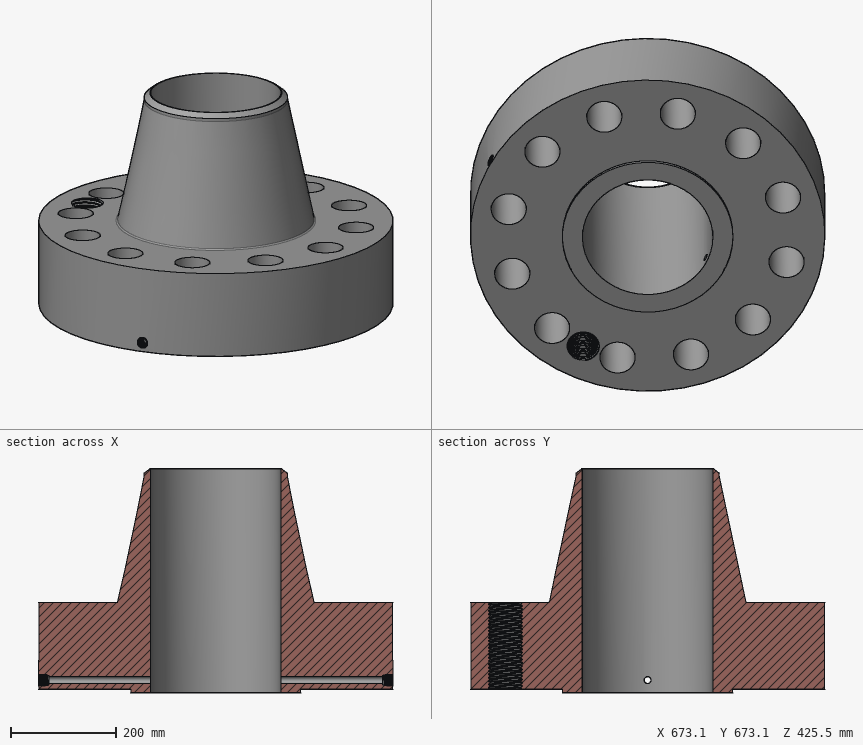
import cadquery as cq
import math

flange_diameter = 673.1
flange_thickness = 165.1
raised_face_diameter = 323.85
raised_face_height = 6.35
overall_height = 425.45
bore_diameter = 247.65

hub_base_diameter = 374.65
hub_base_fillet = 3.0
weld_end_diameter = 273.05
weld_land_height = 6.0
weld_root_face = 1.6
weld_bevel_angle = 37.5

bolt_circle_diameter = 539.75
bolt_hole_count = 12
bolt_hole_diameter = 66.7

jack_major_diameter = 63.5
jack_minor_diameter = 57.0
jack_pitch = 6.35
core_seam_angle = 77.0

tap_drill_diameter = 12.7
tap_major_diameter = 21.3
tap_minor_diameter = 18.6
tap_pitch = 25.4 / 14
tap_thread_turns = 11
tap_height = 24.0
pipe_half_angle = math.degrees(math.atan(1 / 32))

thread_crest_fraction = 1 / 8
thread_root_fraction = 1 / 8
thread_overlap_fraction = 1 / 16
straight_helix = 360.0

flange_top = raised_face_height + flange_thickness


def make_body():
    """Revolved flange, raised face, tapered hub and central bore."""
    bevel_top_radius = bore_diameter / 2 + weld_root_face
    bevel_width = weld_end_diameter / 2 - bevel_top_radius
    bevel_base = overall_height - bevel_width * math.tan(math.radians(weld_bevel_angle))
    body = (
        cq.Workplane("XZ")
        .moveTo(bore_diameter / 2, 0)
        .lineTo(raised_face_diameter / 2, 0)
        .lineTo(raised_face_diameter / 2, raised_face_height)
        .lineTo(flange_diameter / 2, raised_face_height)
        .lineTo(flange_diameter / 2, flange_top)
        .lineTo(hub_base_diameter / 2, flange_top)
        .lineTo(weld_end_diameter / 2, bevel_base - weld_land_height)
        .lineTo(weld_end_diameter / 2, bevel_base)
        .lineTo(bevel_top_radius, overall_height)
        .lineTo(bore_diameter / 2, overall_height)
        .close()
        .revolve(360, (0, 0, 0), (0, 1, 0))
    )
    flange_back_face = body.faces("+Z").faces("<Z")
    hub_corner = flange_back_face.edges(cq.selectors.RadiusNthSelector(0))
    return hub_corner.fillet(hub_base_fillet)


def make_bolt_holes():
    """Through holes evenly spaced on the bolt circle."""
    angle_step = 360 / bolt_hole_count
    return (
        cq.Workplane("XY")
        .polarArray(bolt_circle_diameter / 2, angle_step / 2, 360, bolt_hole_count)
        .circle(bolt_hole_diameter / 2)
        .extrude(flange_top)
    )


def make_thread_groove(minor_radius, major_radius, pitch, start, turns, half_angle=straight_helix):
    """Helical V groove about Z, widening upward by half_angle.

    The solid is bounded by ruled faces between the helices of its four section corners.
    The radii are those at the height start.
    """
    length = turns * pitch
    overlap = thread_overlap_fraction * pitch
    root_half_width = thread_root_fraction * pitch / 2
    mouth_half_width = (1 - thread_crest_fraction) * pitch / 2
    flank_slope = (mouth_half_width - root_half_width) / (major_radius - minor_radius)
    inner_radius = minor_radius - overlap
    inner_half_width = mouth_half_width + overlap * flank_slope
    corners = [
        (inner_radius, -inner_half_width),
        (major_radius, -root_half_width),
        (major_radius, root_half_width),
        (inner_radius, inner_half_width),
    ]
    helices = [
        cq.Wire.makeHelix(pitch, length, radius, angle=half_angle).translate((0, 0, start + rise))
        for radius, rise in corners
    ]
    faces = [
        cq.Face.makeRuledSurface(helix, helices[(index + 1) % len(helices)])
        for index, helix in enumerate(helices)
    ]
    starts = [helix.startPoint() for helix in helices]
    ends = [helix.endPoint() for helix in helices]
    for section in (starts, ends):
        faces.append(cq.Face.makeFromWires(cq.Wire.makePolygon(section, close=True)))
    return cq.Workplane(cq.Solid.makeSolid(cq.Shell.makeShell(faces)))


def cut_jack_hole(body):
    """Cut the through hole at the minor diameter, then its thread, one turn past each face."""
    hole_x = -bolt_circle_diameter / 2
    start = raised_face_height - jack_pitch
    turns = flange_thickness / jack_pitch + 2
    core = (
        cq.Workplane("XY")
        .workplane(offset=start)
        .circle(jack_minor_diameter / 2)
        .extrude(turns * jack_pitch)
        .rotate((0, 0, 0), (0, 0, 1), core_seam_angle)
    )
    groove = make_thread_groove(jack_minor_diameter / 2, jack_major_diameter / 2, jack_pitch, start, turns)
    for cutter in (core, groove):
        body = body.cut(cutter.translate((hole_x, 0, 0)))
    return body


def cut_pressure_tap(body, tilt):
    """Cut a radial drilling into the bore with a tapered, threaded mouth at the rim.

    The cutters are built along Z and tilted about X by +90 or -90 degrees.
    """
    rim = flange_diameter / 2
    thread_bottom = rim - tap_thread_turns * tap_pitch
    mouth_top = rim + tap_pitch
    growth = math.tan(math.radians(pipe_half_angle))
    rim_drop = (rim - thread_bottom) * growth
    bottom_radius = tap_minor_diameter / 2 - rim_drop
    top_radius = bottom_radius + (mouth_top - thread_bottom) * growth
    core = (
        cq.Workplane("XZ")
        .lineTo(tap_drill_diameter / 2, 0)
        .lineTo(tap_drill_diameter / 2, thread_bottom)
        .lineTo(bottom_radius, thread_bottom)
        .lineTo(top_radius, mouth_top)
        .lineTo(0, mouth_top)
        .close()
        .revolve(360, (0, 0, 0), (0, 1, 0))
        .rotate((0, 0, 0), (0, 0, 1), core_seam_angle)
    )
    groove = make_thread_groove(
        bottom_radius,
        tap_major_diameter / 2 - rim_drop,
        tap_pitch,
        thread_bottom + tap_pitch,
        tap_thread_turns,
        pipe_half_angle,
    )
    for cutter in (core, groove):
        placed = cutter.rotate((0, 0, 0), (1, 0, 0), tilt).translate((0, 0, tap_height))
        body = body.cut(placed)
    return body


result = cut_jack_hole(make_body())
for tilt in (90, -90):
    result = cut_pressure_tap(result, tilt)
result = result.cut(make_bolt_holes())